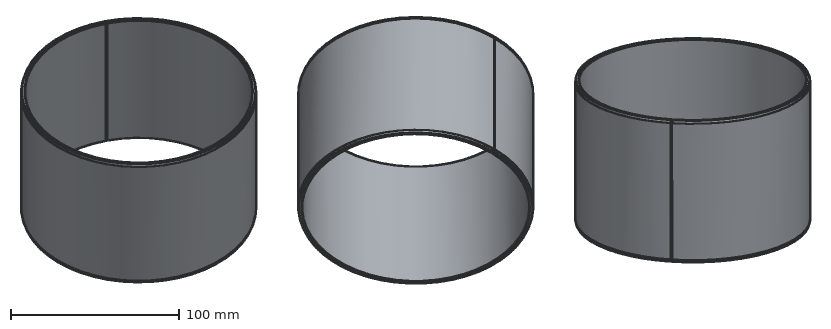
import cadquery as cq

outer_diameter = 140.0
height = 90.0
wall = 2.5
outer_bevel_height = 1.7
outer_bevel_depth = 0.5
inner_bevel = 0.4
slit_width = 1.1

outer_radius = outer_diameter / 2
inner_radius = outer_radius - wall
rim_outer_radius = outer_radius - outer_bevel_depth
rim_inner_radius = inner_radius + inner_bevel


def bevelled_sleeve():
    """Thin sleeve with a long outer bevel and a small 45-degree inner bevel on each rim."""
    wall_section = [
        (-rim_inner_radius, 0),
        (-rim_outer_radius, 0),
        (-outer_radius, outer_bevel_height),
        (-outer_radius, height - outer_bevel_height),
        (-rim_outer_radius, height),
        (-rim_inner_radius, height),
        (-inner_radius, height - inner_bevel),
        (-inner_radius, inner_bevel),
    ]
    return cq.Workplane("XZ").polyline(wall_section).close().revolve(360, (0, 0), (0, 1))


def slit_cutter():
    """Full-height cut through the -X wall, with one face on the Y = 0 plane."""
    return cq.Workplane("XY").box(
        outer_diameter, slit_width, height, centered=False
    ).translate((-outer_diameter, 0, 0))


result = bevelled_sleeve().cut(slit_cutter())